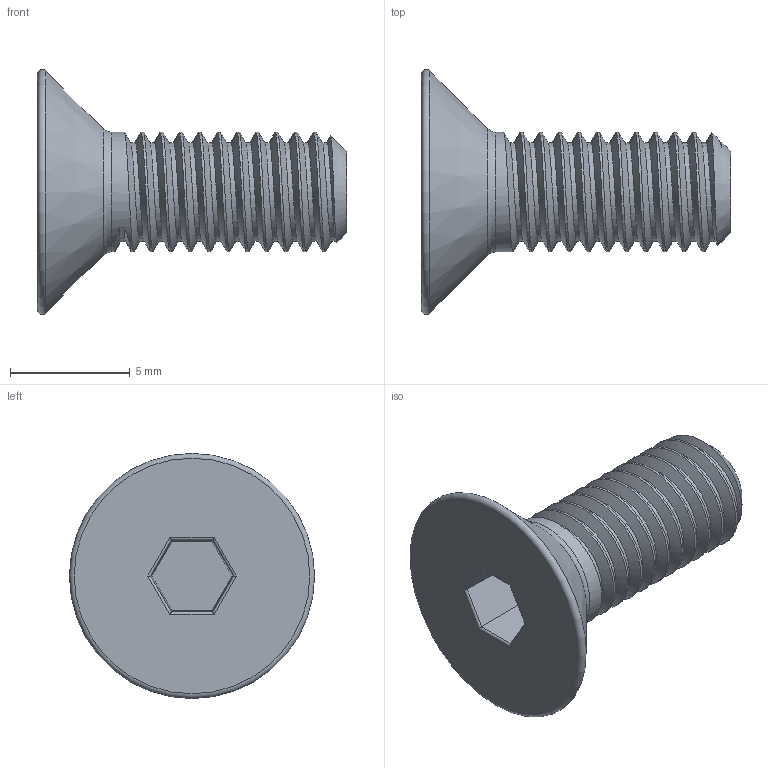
import cadquery as cq
import math


total_length = 12.9
shank_radius = 2.5
cone_base_radius = 5.4
cone_length = cone_base_radius - shank_radius
rim_fillet = 0.2
neck_fillet = 0.5
tip_chamfer = 0.8

socket_across_flats = 3.0
socket_depth = 2.2
socket_taper = 1.5
socket_mouth_fillet = 0.1

pitch = 0.8
flank_slope = math.tan(math.radians(30))
root_half_width = pitch / 8
crest_half_width = (pitch - pitch / 8) / 2
thread_depth = (crest_half_width - root_half_width) / flank_slope
root_radius = shank_radius - thread_depth
groove_start_x = 3.53
groove_start_angle = 251
groove_end_x = total_length + pitch / 4
cutter_overshoot = 0.05


def along_x(shape):
    """Turn a shape built along Z so that its axis is X and its X axis becomes Y."""
    return shape.rotate((0, 0, 0), (1, 1, 1), 120)


def make_blank():
    """Head cone, shank and tip chamfer revolved about X, with rounded rim and neck."""
    blank = (
        cq.Workplane("XY")
        .moveTo(0, 0)
        .lineTo(0, cone_base_radius)
        .lineTo(cone_length, shank_radius)
        .lineTo(total_length - tip_chamfer, shank_radius)
        .lineTo(total_length, shank_radius - tip_chamfer)
        .lineTo(total_length, 0)
        .close()
        .revolve(360, (0, 0, 0), (1, 0, 0))
    )
    blank = blank.faces("<X").edges().fillet(rim_fillet)
    neck_edge = cq.selectors.BoxSelector(
        (cone_length - neck_fillet, -cone_base_radius, -cone_base_radius),
        (cone_length + neck_fillet, cone_base_radius, cone_base_radius),
    )
    return blank.edges("%CIRCLE").edges(neck_edge).fillet(neck_fillet)


def cut_socket(body):
    """Slightly tapered hexagonal recess with corners on +Y and -Y and a rounded mouth."""
    corner_diameter = socket_across_flats / math.cos(math.pi / 6)
    prism = cq.Workplane("XY").polygon(6, corner_diameter).extrude(socket_depth, taper=socket_taper)
    mouth_edges = cq.selectors.BoxSelector(
        (-socket_mouth_fillet, -corner_diameter, -corner_diameter),
        (socket_mouth_fillet, corner_diameter, corner_diameter),
    )
    socketed = body.cut(along_x(prism))
    return socketed.edges("%LINE").edges(mouth_edges).fillet(socket_mouth_fillet)


def make_groove_profile(outer_radius):
    """Trapezoidal groove section in the XZ plane, from the root out to outer_radius."""
    outer_half_width = root_half_width + (outer_radius - root_radius) * flank_slope
    return (
        cq.Workplane("XZ")
        .moveTo(root_radius, -root_half_width)
        .lineTo(outer_radius, -outer_half_width)
        .lineTo(outer_radius, outer_half_width)
        .lineTo(root_radius, root_half_width)
        .close()
    )


def make_thread_groove():
    """Right-hand groove cutter: straight tangential lead-in, then turns out through the tip."""
    outer_radius = shank_radius + cutter_overshoot
    helix = cq.Wire.makeHelix(pitch, groove_end_x - groove_start_x, shank_radius)
    turns = make_groove_profile(outer_radius).sweep(cq.Workplane(obj=helix), isFrenet=True)
    lead_in_length = math.sqrt(outer_radius**2 - root_radius**2)
    lead_in = make_groove_profile(outer_radius).extrude(lead_in_length)
    cutter = turns.union(lead_in)
    return (
        along_x(cutter)
        .rotate((0, 0, 0), (1, 0, 0), groove_start_angle)
        .translate((groove_start_x, 0, 0))
    )


result = cut_socket(make_blank()).cut(make_thread_groove())